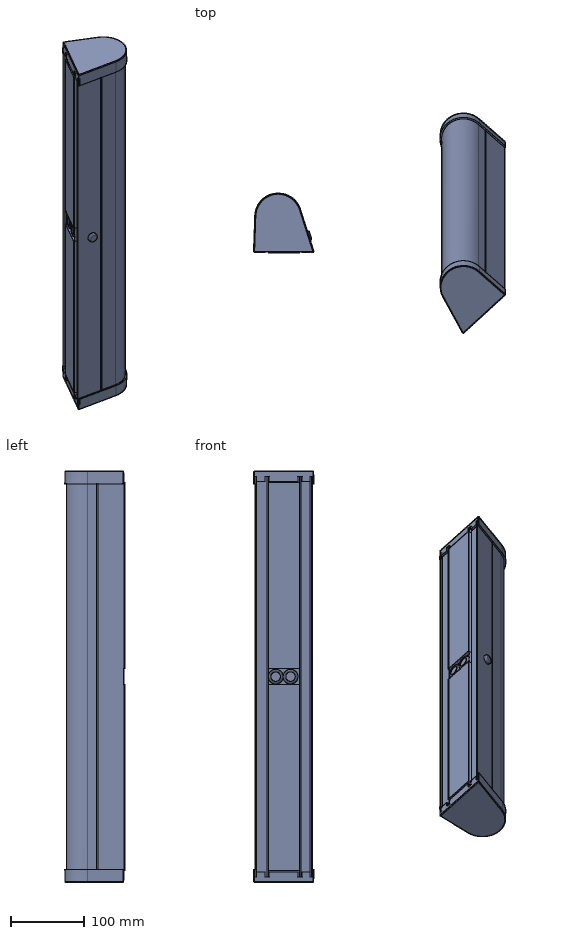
import cadquery as cq
import math

LENGTH = 561.0
CAP_SKIRT_END = 262.5
CAP_FRONT_END = 266.0
CAP_SOCKET_END = 272.5
PANEL_END = 264.0
WINDOW_HEIGHT = 22.0

ARC_X = -7.5
ARC_RADIUS = 32.0
BACK_Y = 41.0
ARC_Y = BACK_Y - ARC_RADIUS
LEFT_LEAN = 2.0
RIGHT_LEAN = 17.7
CAP_FRONT_Y = -40.0
CAP_WALL = 2.0
CAP_DRAFT = 1.2
CAP_CHAMFER = 1.0
CAP_CORNER_CHAMFER = 1.0

LIP_Y = -40.0
STRIP_Y = -37.0
CHANNEL_FLOOR_Y = -36.5
CHANNEL_LEFT = -21.0
CHANNEL_RIGHT = 22.0
RAIL_WIDTH = 1.5
LEFT_LIP_WIDTH = 1.5
RIGHT_LIP_WIDTH = 1.5
RIGHT_LIP_SLOPE = 1.5
PANEL_Y = -41.0

SPLIT_Y = -2.0
JOINT_GROOVE_HEIGHT = 2.0
JOINT_GROOVE_DEPTH = 1.5

RAIL_SLOT_X = 22.5
RAIL_SLOT_WIDTH = 5.5

BUTTON_DIAMETER = 20.0
BUTTON_RIM_DIAMETER = 16.0
BUTTON_DISH_DIAMETER = 13.0
BUTTON_DISH_DEPTH = 0.5
BUTTON_HEIGHT = 3.5
BUTTON_PITCH = 20.0
BUTTON_PAIR_X = -0.5

KNOB_DIAMETER = 13.0
KNOB_EDGE_RADIUS = 1.5
KNOB_HEIGHT = 4.5
KNOB_Y = -18.0

FRONT_MARGIN = 5.5

HOUSING_RADIUS = ARC_RADIUS - CAP_WALL


def left_flank_x(radius, y):
    lean = math.radians(LEFT_LEAN)
    return ARC_X - (radius - (y - ARC_Y) * math.sin(lean)) / math.cos(lean)


def right_flank_x(radius, y):
    lean = math.radians(RIGHT_LEAN)
    return ARC_X + (radius - (y - ARC_Y) * math.sin(lean)) / math.cos(lean)


LEFT_LIP_OUTER = left_flank_x(HOUSING_RADIUS, LIP_Y)
LEFT_LIP_INNER = LEFT_LIP_OUTER + LEFT_LIP_WIDTH
RIGHT_LIP_OUTER = right_flank_x(HOUSING_RADIUS, LIP_Y)
RIGHT_LIP_INNER = RIGHT_LIP_OUTER - RIGHT_LIP_WIDTH
RIGHT_LIP_FOOT = RIGHT_LIP_INNER - RIGHT_LIP_SLOPE


def arc_point(radius, degrees):
    angle = math.radians(degrees)
    return (ARC_X + radius * math.cos(angle), ARC_Y + radius * math.sin(angle))


def d_section(radius, front_y, start_z):
    """Rounded back, two flanks tangent to it and a straight front."""
    return (
        cq.Workplane("XY", origin=(0, 0, start_z))
        .moveTo(left_flank_x(radius, front_y), front_y)
        .lineTo(right_flank_x(radius, front_y), front_y)
        .lineTo(*arc_point(radius, RIGHT_LEAN))
        .threePointArc(arc_point(radius, 90), arc_point(radius, 180 - LEFT_LEAN))
        .close()
    )


def block(x_range, y_range, z_range):
    sizes = [high - low for low, high in (x_range, y_range, z_range)]
    return cq.Workplane("XY").box(*sizes, centered=False).translate((x_range[0], y_range[0], z_range[0]))


def make_rear_cover():
    body = d_section(HOUSING_RADIUS, SPLIT_Y, -CAP_SOCKET_END)
    return body.extrude(2 * CAP_SOCKET_END)


def make_housing():
    """Front half of the column: joint grooves, edge lips, rails and channel."""
    groove_y = SPLIT_Y - JOINT_GROOVE_HEIGHT
    left_groove_x = left_flank_x(HOUSING_RADIUS, groove_y)
    right_groove_x = right_flank_x(HOUSING_RADIUS, groove_y)
    outline = [
        (left_groove_x + JOINT_GROOVE_DEPTH, SPLIT_Y),
        (left_groove_x + JOINT_GROOVE_DEPTH, groove_y),
        (left_groove_x, groove_y),
        (LEFT_LIP_OUTER, LIP_Y),
        (LEFT_LIP_INNER, LIP_Y),
        (LEFT_LIP_INNER, STRIP_Y),
        (CHANNEL_LEFT - RAIL_WIDTH, STRIP_Y),
        (CHANNEL_LEFT, LIP_Y),
        (CHANNEL_LEFT, CHANNEL_FLOOR_Y),
        (CHANNEL_RIGHT, CHANNEL_FLOOR_Y),
        (CHANNEL_RIGHT, LIP_Y),
        (CHANNEL_RIGHT + RAIL_WIDTH, STRIP_Y),
        (RIGHT_LIP_FOOT, STRIP_Y),
        (RIGHT_LIP_INNER, LIP_Y),
        (RIGHT_LIP_OUTER, LIP_Y),
        (right_groove_x, groove_y),
        (right_groove_x - JOINT_GROOVE_DEPTH, groove_y),
        (right_groove_x - JOINT_GROOVE_DEPTH, SPLIT_Y),
    ]
    profile = cq.Workplane("XY", origin=(0, 0, -CAP_SOCKET_END)).polyline(outline).close()
    return profile.extrude(2 * CAP_SOCKET_END)


def make_top_cap():
    """Drafted cup whose walls lap over the ends of the housing and the rear cover."""
    end_z = LENGTH / 2
    cap = d_section(ARC_RADIUS, CAP_FRONT_Y, CAP_SKIRT_END).extrude(end_z - CAP_SKIRT_END, taper=CAP_DRAFT)
    front_corners = cq.selectors.BoxSelector(
        (-LENGTH, CAP_FRONT_Y - FRONT_MARGIN, CAP_SKIRT_END + FRONT_MARGIN),
        (LENGTH, CAP_FRONT_Y + FRONT_MARGIN, end_z - FRONT_MARGIN),
    )
    cap = cap.edges(front_corners).chamfer(CAP_CORNER_CHAMFER)
    cap = cap.faces(">Z").chamfer(CAP_CHAMFER)

    socket = d_section(HOUSING_RADIUS, STRIP_Y, CAP_SKIRT_END).extrude(CAP_SOCKET_END - CAP_SKIRT_END)
    cap = cap.cut(socket)

    front_wall_y = (CAP_FRONT_Y - FRONT_MARGIN, STRIP_Y)
    housing_x = (LEFT_LIP_OUTER, RIGHT_LIP_OUTER)
    cap = cap.cut(block(housing_x, front_wall_y, (CAP_SKIRT_END, CAP_FRONT_END)))
    slots = [
        (LEFT_LIP_OUTER, LEFT_LIP_INNER),
        (-RAIL_SLOT_X - RAIL_SLOT_WIDTH / 2, -RAIL_SLOT_X + RAIL_SLOT_WIDTH / 2),
        (RAIL_SLOT_X - RAIL_SLOT_WIDTH / 2, RAIL_SLOT_X + RAIL_SLOT_WIDTH / 2),
        (RIGHT_LIP_FOOT, RIGHT_LIP_OUTER),
    ]
    for slot_x in slots:
        cap = cap.cut(block(slot_x, front_wall_y, (CAP_SKIRT_END, CAP_SOCKET_END)))
    return cap


def make_top_panel():
    return block((CHANNEL_LEFT, CHANNEL_RIGHT), (PANEL_Y, CHANNEL_FLOOR_Y), (WINDOW_HEIGHT / 2, PANEL_END))


def make_button(x):
    """Disc on the channel floor with a rounded rim and a shallow dish."""
    button = (
        cq.Workplane("XZ", origin=(x, CHANNEL_FLOOR_Y, 0))
        .circle(BUTTON_DIAMETER / 2)
        .extrude(BUTTON_HEIGHT)
        .faces("<Y")
        .edges()
        .fillet((BUTTON_DIAMETER - BUTTON_RIM_DIAMETER) / 2)
    )
    dish = (
        cq.Workplane("XZ", origin=(x, CHANNEL_FLOOR_Y - BUTTON_HEIGHT + BUTTON_DISH_DEPTH, 0))
        .circle(BUTTON_DISH_DIAMETER / 2)
        .extrude(BUTTON_DISH_DEPTH)
    )
    return button.cut(dish)


def make_knob():
    """Rounded disc standing square on the sloping right flank of the housing."""
    lean = math.radians(RIGHT_LEAN)
    flank = cq.Plane(
        origin=(right_flank_x(HOUSING_RADIUS, KNOB_Y), KNOB_Y, 0),
        xDir=(0, 0, 1),
        normal=(math.cos(lean), math.sin(lean), 0),
    )
    return (
        cq.Workplane(flank)
        .circle(KNOB_DIAMETER / 2)
        .extrude(KNOB_HEIGHT)
        .faces(">X")
        .edges()
        .fillet(KNOB_EDGE_RADIUS)
    )


rear_cover = make_rear_cover()
housing = make_housing()
top_cap = make_top_cap()
caps = [top_cap, top_cap.mirror("XY")]
top_panel = make_top_panel()
panels = [top_panel, top_panel.mirror("XY")]
buttons = [make_button(BUTTON_PAIR_X + side * BUTTON_PITCH / 2) for side in (-1, 1)]
knob = make_knob()

bodies = [rear_cover, housing, *caps, *panels, *buttons, knob]
result = cq.Compound.makeCompound([body.val() for body in bodies])